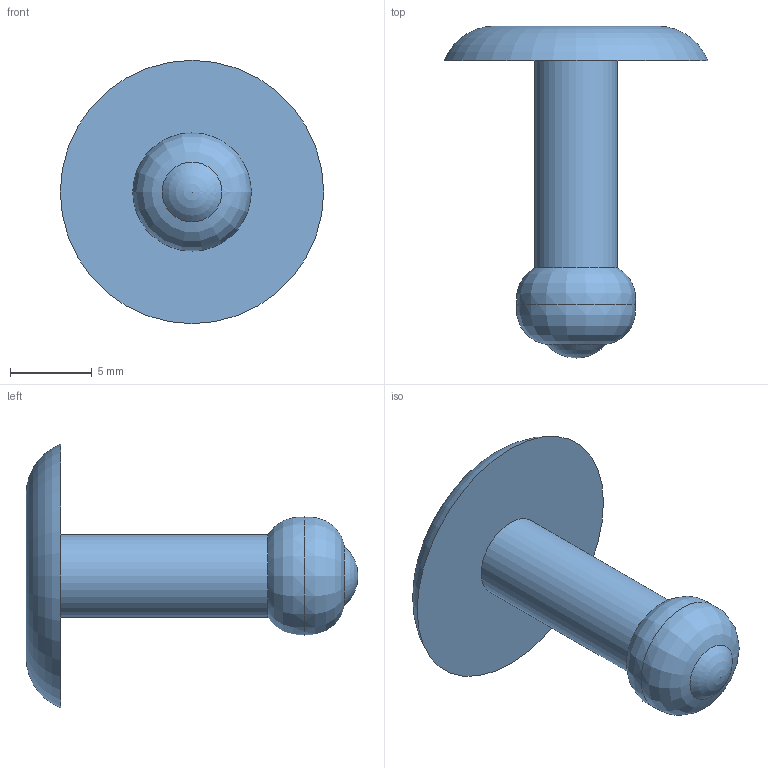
import cadquery as cq
import math


head_radius = 8.065
head_thickness = 2.11
head_edge_radius = 3.3

shaft_radius = 2.53
shaft_length = 12.7

bulb_radius = 3.65
lobe_radius = 2.1
lobe_spacing = 0.752

nose_radius = 1.83
nose_height = 0.83


def arc_reach(radius, offset):
    """Distance along one axis from an arc's centre at a given offset along the other axis."""
    return math.sqrt(radius**2 - offset**2)


def arc_middle(center, radius, start, end):
    """Point halfway along the shorter arc from start to end."""
    chord_x = (start[0] + end[0]) / 2 - center[0]
    chord_y = (start[1] + end[1]) / 2 - center[1]
    stretch = radius / math.hypot(chord_x, chord_y)
    return (center[0] + chord_x * stretch, center[1] + chord_y * stretch)


edge_center_y = head_thickness - head_edge_radius
head_flat_radius = head_radius - arc_reach(head_edge_radius, edge_center_y)
edge_center = (head_flat_radius, edge_center_y)
head_rim = (head_radius, 0)
head_flat_edge = (head_flat_radius, head_thickness)

lobe_center_radius = bulb_radius - lobe_radius
shaft_end_y = -shaft_length
rear_lobe_y = shaft_end_y - arc_reach(lobe_radius, shaft_radius - lobe_center_radius)
front_lobe_y = rear_lobe_y - lobe_spacing
bulb_end_y = front_lobe_y - arc_reach(lobe_radius, nose_radius - lobe_center_radius)
rear_lobe_center = (lobe_center_radius, rear_lobe_y)
front_lobe_center = (lobe_center_radius, front_lobe_y)
shaft_end = (shaft_radius, shaft_end_y)
seam = (
    lobe_center_radius + arc_reach(lobe_radius, lobe_spacing / 2),
    rear_lobe_y - lobe_spacing / 2,
)
nose_rim = (nose_radius, bulb_end_y)

nose_tip = (0, bulb_end_y - nose_height)
nose_sphere_radius = (nose_radius**2 + nose_height**2) / (2 * nose_height)
nose_center = (0, nose_tip[1] + nose_sphere_radius)

half_outline = (
    cq.Workplane("XY")
    .moveTo(0, head_thickness)
    .lineTo(*head_flat_edge)
    .threePointArc(arc_middle(edge_center, head_edge_radius, head_flat_edge, head_rim), head_rim)
    .lineTo(shaft_radius, 0)
    .lineTo(*shaft_end)
    .threePointArc(arc_middle(rear_lobe_center, lobe_radius, shaft_end, seam), seam)
    .threePointArc(arc_middle(front_lobe_center, lobe_radius, seam, nose_rim), nose_rim)
    .threePointArc(arc_middle(nose_center, nose_sphere_radius, nose_rim, nose_tip), nose_tip)
    .close()
)

result = half_outline.revolve(360, (0, 0, 0), (0, 1, 0))